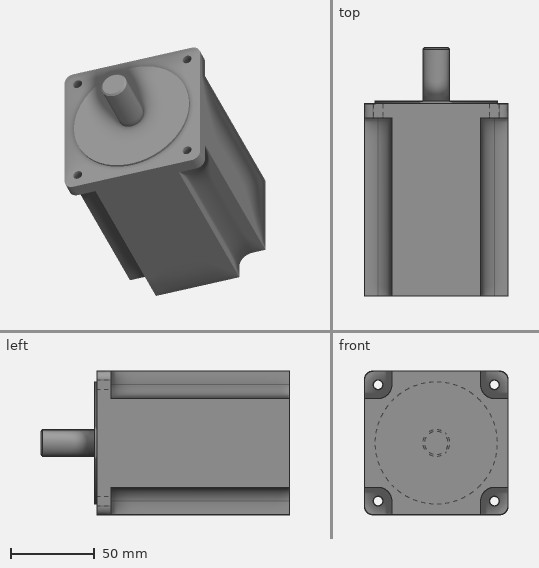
import cadquery as cq

total_length = 148.5
body_width = 86.0
shaft_length = 32.0
shaft_diameter = 16.0
shaft_chamfer = 1.0
pilot_diameter = 73.0
pilot_height = 1.5

flange_thickness = 8.5
flange_corner_radius = 5.3
notch_size = 16.5
notch_radius = 8.3
hole_spacing = 69.5
hole_diameter = 5.6

body_length = total_length - shaft_length - pilot_height
notch_length = body_length - flange_thickness


def section_at(y):
    """Sketch plane across the motor axis, with its normal along +Y."""
    return cq.Workplane(cq.Plane(origin=(0, y, 0), xDir=(1, 0, 0), normal=(0, 1, 0)))


def make_flange():
    """Rounded square plate with a through hole in each corner."""
    plate = section_at(notch_length).rect(body_width, body_width).extrude(flange_thickness)
    plate = plate.edges("|Y").fillet(flange_corner_radius)
    holes = (
        section_at(notch_length)
        .rect(hole_spacing, hole_spacing, forConstruction=True)
        .vertices()
        .circle(hole_diameter / 2)
        .extrude(flange_thickness)
    )
    return plate.cut(holes)


def make_body():
    """Square housing with a round-bottomed notch along each corner."""
    housing = section_at(0).rect(body_width, body_width).extrude(notch_length)
    notches = (
        section_at(0)
        .rect(body_width, body_width, forConstruction=True)
        .vertices()
        .rect(2 * notch_size, 2 * notch_size)
        .extrude(notch_length)
        .edges("|Y")
        .fillet(notch_radius)
    )
    return housing.cut(notches)


def make_shaft():
    """Output shaft with a chamfered tip."""
    shaft = section_at(body_length + pilot_height).circle(shaft_diameter / 2).extrude(shaft_length)
    return shaft.faces(">Y").chamfer(shaft_chamfer)


pilot = section_at(body_length).circle(pilot_diameter / 2).extrude(pilot_height)

result = make_body().union(make_flange()).union(pilot).union(make_shaft())